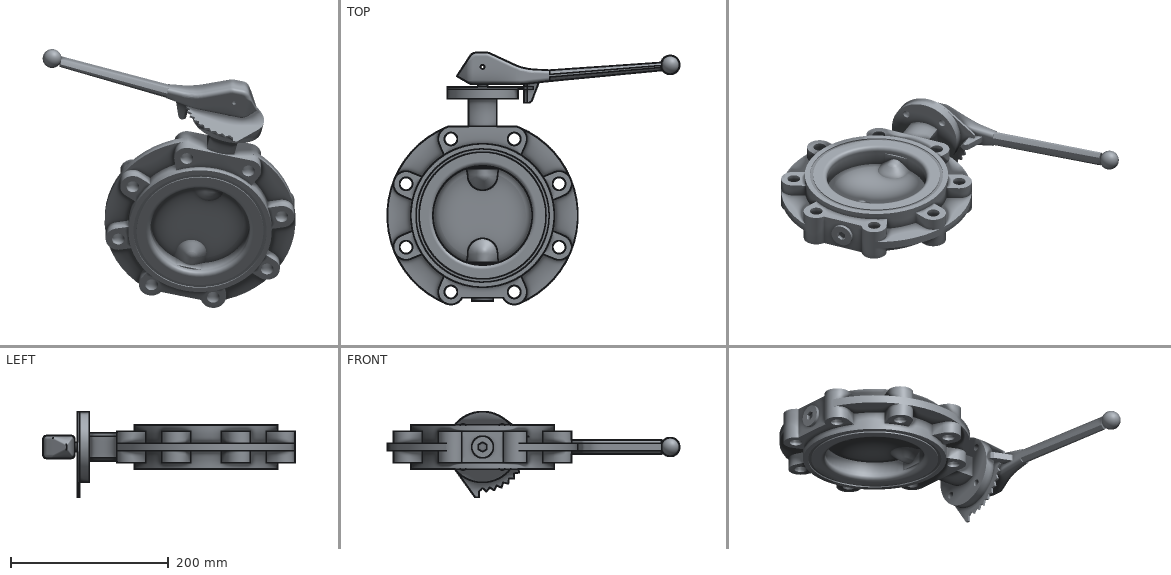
import cadquery as cq
import math


housing_radius = 91.0
housing_half_height = 28.0
rim_radius = 121.0
rim_half_thickness = 5.0
groove_inner_radius = 80.5
groove_outer_radius = 84.5
groove_depth = 1.5

bore_radius = 63.0
bore_mouth_round = 5.4
bore_flat_distance = 61.0
bore_flat_half_height = 19.5

lug_count = 8
bolt_circle_radius = 105.0
lug_radius = 16.0
lug_half_height = 20.0
bolt_hole_radius = 8.0
lug_pitch = 360.0 / lug_count
first_lug_angle = lug_pitch / 2
lug_offset_x = bolt_circle_radius * math.sin(math.radians(first_lug_angle))
lug_offset_y = bolt_circle_radius * math.cos(math.radians(first_lug_angle))

top_face_y = lug_offset_y + lug_radius
bottom_face_y = -104.6
rim_end_x = rim_radius * math.sin(math.radians(first_lug_angle))

plug_radius = 13.8
plug_end_y = -108.5
plug_hex_diameter = 12.0
plug_hex_depth = 5.0
hex_corner_angle = 30.0

disc_half_thickness = 4.3
disc_edge_half_thickness = 3.3
disc_flat_radius = 55.0
upper_hub_centre_y = 51.0
lower_hub_centre_y = 48.0
hub_end_y = 59.4
hub_base_half_width = 19.0
hub_crown_half_width = 6.9
hub_slope_angle = 37.0

neck_half_width = 18.0
neck_half_depth = 18.2
neck_side_half_depth = 13.4
flange_start_y = 148.0
flange_end_y = 160.2
flange_radius = 45.0
flange_hole_circle_radius = 35.0
flange_hole_radius = 4.5
flange_hole_count = 4
first_flange_hole_angle = 180.0 / flange_hole_count
plate_end_y = 163.0
tooth_tip_radius = 57.0
tooth_root_radius = 52.2
notch_pitch = 10.0
notch_count = 10
stop_inner_offset = 4.4
stop_outer_offset = 9.4
stop_length = 64.0

stem_radius = 6.3
lever_bottom_y = 166.4
lever_top_y = 206.9
head_half_width = 14.6
head_end_x = 47.0
head_round = 5.0
crown_rear_x = -13.0
crown_front_x = 7.0
crown_round = 11.0
upper_blend_x = 52.0
upper_blend_y = 186.0
upper_blend_round = 70.0
lower_blend_x = 49.6
lower_blend_round = 40.0
heel_x = -15.0
heel_round = 10.0
taper_blend_round = 60.0
nose_x = -32.7
nose_y = 176.7
nose_half_width = 2.5
nose_base_x = -17.0
nose_blend_round = 13.0
nose_edge_round = 2.0
grip_start_x = 85.0
grip_start_y = (170.2, 184.4)
grip_end_x = 227.0
grip_end_y = (183.9, 194.2)
grip_half_width = 9.0
grip_flat_half_width = 4.7
grip_bevel_ratio = 0.38
ball_x = 238.0
ball_y = 191.0
ball_radius = 12.0
pin_hole_y = 188.5
pin_hole_radius = 2.4

finger_end_y = 142.7
finger_top_x = 72.5
finger_tip_x = 59.4
finger_knee_x = 62.6
finger_knee_y = 145.5
finger_half_width = 4.0
finger_clearance = 0.2


def disc_of_height(radius, half_height):
    """Cylinder along Z, symmetric about the XY plane."""
    return cq.Workplane("XY").circle(radius).extrude(half_height, both=True)


def box_between(x_range, y_range, z_range):
    size = [high - low for low, high in (x_range, y_range, z_range)]
    return (
        cq.Workplane("XY")
        .box(*size, centered=False)
        .translate((x_range[0], y_range[0], z_range[0]))
    )


def cylinder_along_y(radius, start_y, end_y):
    return (
        cq.Workplane("XZ", origin=(0, start_y, 0))
        .circle(radius)
        .extrude(start_y - end_y)
    )


def make_rim():
    """Central web, cut flat above the upper lugs and recessed between the lower lugs."""
    trim = box_between(
        (-rim_radius, rim_radius),
        (-top_face_y, top_face_y),
        (-rim_half_thickness, rim_half_thickness),
    )
    lower_recess = box_between(
        (-rim_end_x, rim_end_x),
        (-rim_radius, bottom_face_y),
        (-rim_half_thickness, rim_half_thickness),
    )
    return disc_of_height(rim_radius, rim_half_thickness).intersect(trim).cut(lower_recess)


def make_lug(angle):
    """Round lug joined to the housing by a radial slab of the same width."""
    lug = disc_of_height(lug_radius, lug_half_height).translate((bolt_circle_radius, 0, 0))
    slab = box_between(
        (groove_outer_radius, bolt_circle_radius),
        (-lug_radius, lug_radius),
        (-lug_half_height, lug_half_height),
    )
    return lug.union(slab).rotate((0, 0, 0), (0, 0, 1), angle)


def make_bridge(start_y, end_y):
    return box_between(
        (-lug_offset_x, lug_offset_x),
        (start_y, end_y),
        (-lug_half_height, lug_half_height),
    )


def make_bore():
    """Bore tool: flats at the shaft ends and a quarter-round at each mouth."""
    flats = box_between(
        (-bore_radius, bore_radius),
        (-bore_flat_distance, bore_flat_distance),
        (-bore_flat_half_height, bore_flat_half_height),
    )
    pads = disc_of_height(bore_radius, bore_flat_half_height).cut(flats)
    bore = disc_of_height(bore_radius, housing_half_height).cut(pads)
    mouth_radius = bore_radius + bore_mouth_round
    arc_inset = bore_mouth_round * (1 - math.sqrt(0.5))
    mouth_start_z = housing_half_height - bore_mouth_round
    mouth = (
        cq.Workplane("XZ")
        .moveTo(0, mouth_start_z)
        .lineTo(bore_radius, mouth_start_z)
        .threePointArc(
            (bore_radius + arc_inset, housing_half_height - arc_inset),
            (mouth_radius, housing_half_height),
        )
        .lineTo(0, housing_half_height)
        .close()
        .revolve(360, (0, 0), (0, 1))
    )
    return bore.union(mouth).union(mouth.mirror("XY"))


def make_face_groove():
    return (
        cq.Workplane("XY", origin=(0, 0, housing_half_height - groove_depth))
        .circle(groove_outer_radius)
        .circle(groove_inner_radius)
        .extrude(groove_depth)
    )


def make_hub(centre_y):
    """Hub on the upper disc face at the +Y end: crowned roof ending in a cone with a domed tip."""
    slope = math.radians(hub_slope_angle)
    flank_rise = math.tan(slope)
    crown_edge_z = disc_half_thickness + flank_rise * (hub_base_half_width - hub_crown_half_width)
    crown_radius = hub_crown_half_width / math.sin(slope)
    crown_top_z = crown_edge_z + crown_radius * (1 - math.cos(slope))
    base_half_width = hub_base_half_width + disc_half_thickness / flank_rise
    roof = (
        cq.Workplane("XZ")
        .moveTo(-base_half_width, 0)
        .lineTo(-hub_crown_half_width, crown_edge_z)
        .threePointArc((0, crown_top_z), (hub_crown_half_width, crown_edge_z))
        .lineTo(base_half_width, 0)
        .close()
        .extrude(centre_y - hub_end_y)
    )
    crown_mid_x = crown_radius * math.sin(slope / 2)
    crown_mid_z = crown_top_z - crown_radius * (1 - math.cos(slope / 2))
    cone = (
        cq.Workplane("XZ")
        .lineTo(0, crown_top_z)
        .threePointArc((crown_mid_x, crown_mid_z), (hub_crown_half_width, crown_edge_z))
        .lineTo(base_half_width, 0)
        .close()
        .revolve(360, (0, 0), (0, 1))
    )
    hub = roof.union(cone).translate((0, centre_y, 0))
    limit = box_between(
        (-bore_radius, bore_radius),
        (0, hub_end_y),
        (0, housing_half_height),
    )
    return hub.intersect(limit).intersect(disc_of_height(bore_radius, housing_half_height))


def make_disc():
    """Closed disc with bevelled edges and a hub at each shaft end of both faces."""
    disc = (
        cq.Workplane("XZ")
        .moveTo(0, -disc_half_thickness)
        .lineTo(disc_flat_radius, -disc_half_thickness)
        .lineTo(bore_radius, -disc_edge_half_thickness)
        .lineTo(bore_radius, disc_edge_half_thickness)
        .lineTo(disc_flat_radius, disc_half_thickness)
        .lineTo(0, disc_half_thickness)
        .close()
        .revolve(360, (0, 0), (0, 1))
    )
    hub_pair = make_hub(upper_hub_centre_y).union(make_hub(lower_hub_centre_y).mirror("XZ"))
    return disc.union(hub_pair).union(hub_pair.mirror("XY"))


def make_plug():
    plug = cylinder_along_y(plug_radius, plug_end_y, bottom_face_y)
    hex_socket = (
        cq.Workplane("XZ", origin=(0, plug_end_y, 0))
        .polygon(6, plug_hex_diameter)
        .extrude(-plug_hex_depth)
        .rotate((0, 0, 0), (0, 1, 0), hex_corner_angle)
    )
    return plug, hex_socket


def make_neck():
    """Square neck whose upper and lower faces are gently arched."""
    return (
        cq.Workplane("XZ", origin=(0, housing_radius, 0))
        .moveTo(-neck_half_width, -neck_side_half_depth)
        .threePointArc((0, -neck_half_depth), (neck_half_width, -neck_side_half_depth))
        .lineTo(neck_half_width, neck_side_half_depth)
        .threePointArc((0, neck_half_depth), (-neck_half_width, neck_side_half_depth))
        .close()
        .extrude(housing_radius - flange_start_y)
    )


def make_flange_holes():
    return (
        cq.Workplane("XZ", origin=(0, flange_start_y, 0))
        .polarArray(flange_hole_circle_radius, first_flange_hole_angle, 360, flange_hole_count)
        .circle(flange_hole_radius)
        .extrude(flange_start_y - flange_end_y)
    )


def make_valve():
    body = disc_of_height(housing_radius, housing_half_height).union(make_rim())
    lug_angles = [first_lug_angle + index * lug_pitch for index in range(lug_count)]
    for angle in lug_angles:
        body = body.union(make_lug(angle))
    body = body.union(make_bridge(0, top_face_y))
    body = body.union(make_bridge(bottom_face_y, 0))
    body = body.cut(make_bore())
    groove = make_face_groove()
    body = body.cut(groove).cut(groove.mirror("XY"))
    bolt_hole = disc_of_height(bolt_hole_radius, lug_half_height)
    for angle in lug_angles:
        hole = bolt_hole.translate((bolt_circle_radius, 0, 0))
        body = body.cut(hole.rotate((0, 0, 0), (0, 0, 1), angle))
    plug, hex_socket = make_plug()
    body = body.union(plug).cut(hex_socket)
    body = body.union(make_disc())
    body = body.union(make_neck())
    body = body.union(cylinder_along_y(flange_radius, flange_start_y, flange_end_y))
    return body.cut(make_flange_holes())


def sector_point(radius, degrees):
    """Point in XZ at an angle swept from -Z towards +X."""
    angle = math.radians(degrees)
    return (radius * math.sin(angle), -radius * math.cos(angle))


def tangent_point(x, z, side):
    """Touching point on the flange edge of the tangent drawn from (x, z)."""
    direction = math.atan2(z, x) + side * math.acos(flange_radius / math.hypot(x, z))
    return (flange_radius * math.cos(direction), flange_radius * math.sin(direction))


def make_notched_plate():
    """Round plate with a quarter sector of V notches between two stops."""
    first_stop = (-stop_outer_offset, -stop_length)
    last_stop = (stop_length, stop_outer_offset)
    stop_foot = tooth_root_radius + stop_inner_offset
    points = [
        (0, 0),
        tangent_point(*first_stop, -1),
        first_stop,
        (-stop_inner_offset, -stop_length),
        (-stop_inner_offset, -stop_foot),
    ]
    for notch in range(notch_count):
        points.append(sector_point(tooth_root_radius, notch * notch_pitch))
        if notch < notch_count - 1:
            points.append(sector_point(tooth_tip_radius, (notch + 0.5) * notch_pitch))
    points += [
        (stop_foot, stop_inner_offset),
        (stop_length, stop_inner_offset),
        last_stop,
        tangent_point(*last_stop, 1),
    ]
    thickness = plate_end_y - flange_end_y
    sector = (
        cq.Workplane("XZ", origin=(0, flange_end_y, 0))
        .polyline(points)
        .close()
        .extrude(-thickness)
    )
    return cylinder_along_y(flange_radius, flange_end_y, plate_end_y).union(sector)


def make_lever_side_shape():
    """Head outline in XY at full width, with its corners blended."""
    corner_rounds = {
        (crown_rear_x, lever_top_y): crown_round,
        (crown_front_x, lever_top_y): crown_round,
        (upper_blend_x, upper_blend_y): upper_blend_round,
        (lower_blend_x, lever_bottom_y): lower_blend_round,
        (heel_x, lever_bottom_y): heel_round,
    }
    crown_rear, crown_front, upper_blend, lower_blend, heel = corner_rounds
    shape = (
        cq.Workplane("XY", origin=(0, 0, -head_half_width))
        .polyline(
            [
                (nose_x, nose_y),
                crown_rear,
                crown_front,
                upper_blend,
                (grip_start_x, grip_start_y[1]),
                (grip_start_x, grip_start_y[0]),
                lower_blend,
                heel,
            ]
        )
        .close()
        .extrude(2 * head_half_width)
    )
    for corner, radius in corner_rounds.items():
        nearest = cq.selectors.NearestToPointSelector((*corner, 0))
        shape = shape.edges("|Z").edges(nearest).fillet(radius)
    return shape


def make_lever_plan_shape():
    """Width of the head in XZ: constant, then tapering smoothly to the grip."""
    shape = (
        cq.Workplane("XZ", origin=(0, lever_bottom_y, 0))
        .polyline(
            [
                (nose_x, -head_half_width),
                (head_end_x, -head_half_width),
                (grip_start_x, -grip_half_width),
                (grip_start_x, grip_half_width),
                (head_end_x, head_half_width),
                (nose_x, head_half_width),
            ]
        )
        .close()
        .extrude(lever_bottom_y - lever_top_y)
    )
    for side in (-1, 1):
        corner = (head_end_x, (lever_bottom_y + lever_top_y) / 2, side * head_half_width)
        nearest = cq.selectors.NearestToPointSelector(corner)
        shape = shape.edges("|Y").edges(nearest).fillet(taper_blend_round)
    return shape


def make_nose_envelope():
    """Width of the nose in XZ: blended flanks converging on a narrow tip."""
    shape = (
        cq.Workplane("XZ", origin=(0, lever_bottom_y, 0))
        .polyline(
            [
                (nose_x, -nose_half_width),
                (nose_base_x, -head_half_width),
                (grip_start_x, -head_half_width),
                (grip_start_x, head_half_width),
                (nose_base_x, head_half_width),
                (nose_x, nose_half_width),
            ]
        )
        .close()
        .extrude(lever_bottom_y - lever_top_y)
    )
    for side in (-1, 1):
        corner = (nose_base_x, (lever_bottom_y + lever_top_y) / 2, side * head_half_width)
        nearest = cq.selectors.NearestToPointSelector(corner)
        shape = shape.edges("|Y").edges(nearest).fillet(nose_blend_round)
    return shape


def edges_beside_midplane(body, x_range, clear_z):
    """Edges on both sides of the XY plane, further than clear_z from it."""
    y_low, y_high = lever_bottom_y - 1, lever_top_y + 1
    z_high = head_half_width + 1
    upper = cq.selectors.BoxSelector((x_range[0], y_low, clear_z), (x_range[1], y_high, z_high))
    lower = cq.selectors.BoxSelector((x_range[0], y_low, -z_high), (x_range[1], y_high, -clear_z))
    return body.edges(upper + lower)


def make_lever_head():
    """Head with rounded side edges, a pointed nose and a cross hole for the pivot pin."""
    head = make_lever_side_shape().intersect(make_lever_plan_shape())
    side_range = (nose_x - 1, grip_start_x - 1)
    head = edges_beside_midplane(head, side_range, grip_flat_half_width).fillet(head_round)
    head = head.intersect(make_nose_envelope())
    nose_range = (nose_x + nose_edge_round, nose_base_x)
    head = edges_beside_midplane(head, nose_range, nose_half_width).fillet(nose_edge_round)
    pin_hole = disc_of_height(pin_hole_radius, head_half_width).translate((0, pin_hole_y, 0))
    return head.cut(pin_hole)


def grip_section(y_range):
    """Eight-sided grip section as (y, z) points."""
    low, high = y_range
    bevel = grip_bevel_ratio * (high - low)
    return [
        (low, -grip_flat_half_width),
        (low, grip_flat_half_width),
        (low + bevel, grip_half_width),
        (high - bevel, grip_half_width),
        (high, grip_flat_half_width),
        (high, -grip_flat_half_width),
        (high - bevel, -grip_half_width),
        (low + bevel, -grip_half_width),
    ]


def make_grip():
    grip = (
        cq.Workplane("YZ", origin=(grip_start_x, 0, 0))
        .polyline(grip_section(grip_start_y))
        .close()
        .workplane(offset=grip_end_x - grip_start_x)
        .polyline(grip_section(grip_end_y))
        .close()
        .loft(ruled=True)
    )
    ball = cq.Workplane("XY").sphere(ball_radius).translate((ball_x, ball_y, 0))
    return grip.union(ball)


def make_finger():
    """Latch finger with a V edge that sits in the last notch of the plate."""
    edge_x = tooth_root_radius + finger_clearance
    root_y = lever_bottom_y + head_round
    side_shape = (
        cq.Workplane("XY", origin=(0, 0, -finger_half_width))
        .polyline(
            [
                (edge_x, root_y),
                (edge_x, finger_end_y),
                (finger_tip_x, finger_end_y),
                (finger_knee_x, finger_knee_y),
                (finger_top_x, root_y),
            ]
        )
        .close()
        .extrude(2 * finger_half_width)
    )
    plan_shape = (
        cq.Workplane("XZ", origin=(0, finger_end_y, 0))
        .polyline(
            [
                (edge_x, 0),
                (edge_x + finger_half_width, -finger_half_width),
                (finger_top_x, -finger_half_width),
                (finger_top_x, finger_half_width),
                (edge_x + finger_half_width, finger_half_width),
            ]
        )
        .close()
        .extrude(finger_end_y - root_y)
    )
    return side_shape.intersect(plan_shape)


def make_lever():
    """Hand lever, its stem and the notched plate under it, as one body."""
    stem = cylinder_along_y(stem_radius, plate_end_y, lever_bottom_y + head_round)
    lever = make_lever_head().union(make_grip()).union(make_finger())
    return lever.union(stem).union(make_notched_plate())


valve = make_valve()
lever = make_lever()
result = cq.Compound.makeCompound([valve.val(), lever.val()])